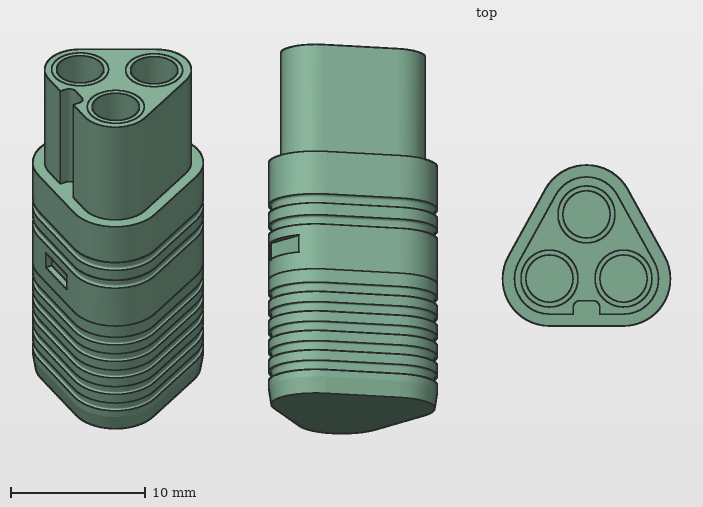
import cadquery as cq
import math


total_height = 27.0
collar_top = 18.55
split_height = 9.5
plug_height = total_height - collar_top

overall_width = 12.5
overall_depth = 12.0
body_radius = 3.5
plug_inset = 0.9
plug_radius = body_radius - plug_inset
corner_x = overall_width / 2 - body_radius
corner_y = overall_depth / 2 - body_radius
front_y = -overall_depth / 2
back_y = overall_depth / 2
plug_front_y = front_y + plug_inset

groove_width = 0.7
groove_depth = 0.202
housing_groove_bottoms = [12.95, 14.58]
housing_groove_fillet = 0.2
shell_groove_count = 5
shell_groove_span = 6.0
shell_groove_pitch = shell_groove_span / (shell_groove_count - 1)
first_shell_groove_bottom = 1.78
shell_groove_fillet = 0.1

taper_height = 1.22
taper_inset = 0.2

keyway_width = 2.0
keyway_depth = 1.0
keyway_corner_radius = 0.5

window_width = 3.25
window_height = 1.32
window_bottom = 10.85
window_depth = 0.5

contact_outer_diameter = 4.25
contact_bore_diameter = 3.5
contact_spacing = 5.5
contact_row_y = -2.45
contact_length = plug_height
contact_axes = [
    (-contact_spacing / 2, contact_row_y),
    (contact_spacing / 2, contact_row_y),
    (0, contact_row_y + contact_spacing * math.sin(math.radians(60))),
]


def triangle_prism(radius, bottom, height, taper=0):
    """Rounded-triangle prism with the given corner radius, rising from the height `bottom`."""
    corners = [(-corner_x, -corner_y), (corner_x, -corner_y), (0, corner_y)]
    outline = cq.Workplane("XY", origin=(0, 0, bottom)).polyline(corners).close().offset2D(radius)
    return outline.extrude(height, taper=taper)


def groove_cutter(bottom, fillet):
    """Ring that cuts one groove and leaves its two floor corners filleted."""
    blank = triangle_prism(2 * body_radius, bottom, groove_width)
    core = triangle_prism(body_radius - groove_depth, bottom, groove_width)
    inside_body = cq.selectors.BoxSelector(
        (-overall_width / 2, front_y, bottom - groove_width),
        (overall_width / 2, back_y, bottom + 2 * groove_width),
        boundingbox=True,
    )
    return blank.cut(core).edges("#Z").edges(inside_body).fillet(fillet)


def make_housing():
    """Front housing: grooved collar with the keyed plug and the contact recesses."""
    collar = triangle_prism(body_radius, split_height, collar_top - split_height)
    plug = triangle_prism(plug_radius, collar_top, plug_height)

    keyway = (
        cq.Workplane("XY", origin=(0, plug_front_y, collar_top))
        .rect(keyway_width, 2 * keyway_depth)
        .extrude(plug_height)
        .edges("|Z and >Y")
        .fillet(keyway_corner_radius)
    )
    housing = collar.union(plug.cut(keyway))

    for bottom in housing_groove_bottoms:
        housing = housing.cut(groove_cutter(bottom, housing_groove_fillet))

    windows = (
        cq.Workplane("XY", origin=(0, 0, window_bottom))
        .pushPoints([(0, front_y), (0, back_y)])
        .rect(window_width, 2 * window_depth)
        .extrude(window_height)
    )
    housing = housing.cut(windows)

    recesses = (
        cq.Workplane("XY", origin=(0, 0, total_height))
        .pushPoints(contact_axes)
        .circle(contact_outer_diameter / 2)
        .extrude(-contact_length)
    )
    return housing.cut(recesses)


def make_shell():
    """Rear shell: evenly grooved grip that tapers in towards the cable end."""
    taper_angle = math.degrees(math.atan(taper_inset / taper_height))
    grip = triangle_prism(body_radius, taper_height, split_height - taper_height)
    shell = grip.union(triangle_prism(body_radius, taper_height, -taper_height, taper_angle))

    for index in range(shell_groove_count):
        bottom = first_shell_groove_bottom + index * shell_groove_pitch
        shell = shell.cut(groove_cutter(bottom, shell_groove_fillet))
    return shell


def make_contact(x, y):
    """Socket contact: plain tube flush with the plug face."""
    return (
        cq.Workplane("XY", origin=(x, y, total_height))
        .circle(contact_outer_diameter / 2)
        .circle(contact_bore_diameter / 2)
        .extrude(-contact_length)
    )


housing = make_housing()
shell = make_shell()
contacts = [make_contact(x, y) for x, y in contact_axes]

result = cq.Compound.makeCompound([housing.val(), shell.val(), *[contact.val() for contact in contacts]])